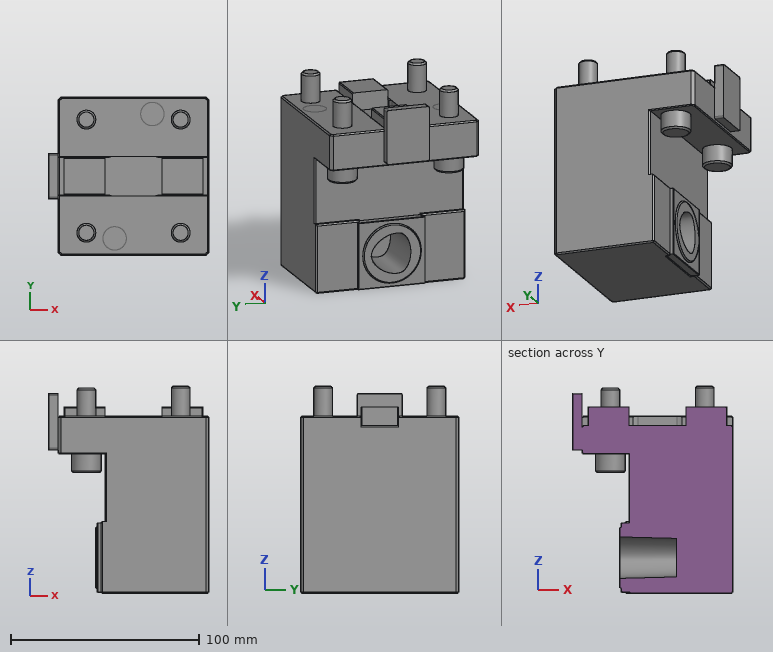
import cadquery as cq
import math

body_length = 80.0
body_width = 84.0
body_height = 94.0
flange_thickness = 20.0
neck_setback = 25.0
edge_chamfer = 0.8
underside_chamfer = 0.5
corner_chamfer = 1.5
front_x = -body_length / 2
rear_x = body_length / 2
neck_x = front_x + neck_setback
flange_bottom = body_height - flange_thickness

foot_height = 38.2
foot_depth = 2.3
foot_root_x = 0.0
foot_gap = 34.5
pad_width = 37.6
pad_height = 37.0
pad_depth = 4.3
pad_chamfer = 0.3
boss_diameter = 33.0
boss_depth = 0.8
boss_chamfer = 0.7
foot_centre_z = 18.9
boss_x = neck_x - pad_depth - boss_depth

bore_mean_radius = 11.1
bore_lobe_height = 0.8
bore_depth = 30.0
bore_taper = 0.8
bore_curve_points = 36

keyway_width = 20.0
keyway_depth = 5.0
keyway_floor = body_height - keyway_depth
relief_step = 0.5
relief_flat_length = 20.7
relief_radius = 7.2

key_length = 21.8
key_gap = 30.0
key_rise = 5.0
key_chamfer = 0.5

plate_thickness = 5.1
plate_width = 24.0
plate_height = 30.0
plate_bottom = 76.0
plate_corner_radius = 1.0

screw_diameter = 10.0
screw_spacing_x = 50.0
screw_spacing_y = 60.1
rear_screw_rise = 16.0
front_screw_rise = 15.0
head_diameter = 16.0
head_height = 10.0
screw_chamfer = 1.0
plug_diameter = 12.4
plug_depth = 5.0
plug_offset_x = 10.0
plug_offset_y = 33.0


def box(x_min, x_max, width, z_min, z_max):
    """Box centred on Y = 0 between the given X and Z limits."""
    return cq.Workplane("XY").box(
        x_max - x_min, width, z_max - z_min, centered=(False, True, False)
    ).translate((x_min, 0, z_min))


def make_flange():
    flange = box(front_x, rear_x, body_width, flange_bottom, body_height)
    flange = flange.edges("|Z").chamfer(corner_chamfer)
    flange = flange.faces(">Z").chamfer(edge_chamfer)
    return flange.faces("<Z").chamfer(underside_chamfer)


def make_neck():
    neck = box(neck_x, rear_x, body_width, 0, flange_bottom + underside_chamfer)
    neck = neck.edges("|Z and >X").chamfer(corner_chamfer)
    neck = neck.edges("|Z and <X").chamfer(edge_chamfer)
    return neck.faces("<Z").chamfer(edge_chamfer)


def make_foot():
    side_width = (body_width - foot_gap) / 2
    side_pad = box(neck_x - foot_depth, foot_root_x, side_width, 0, foot_height)
    side_pad = side_pad.faces("<X or <Z").chamfer(edge_chamfer)
    side_y = (foot_gap + side_width) / 2
    side_pads = side_pad.translate((0, side_y, 0)).union(side_pad.translate((0, -side_y, 0)))
    pad_bottom = foot_centre_z - pad_height / 2
    pad = box(neck_x - pad_depth, foot_root_x, pad_width, pad_bottom, pad_bottom + pad_height)
    pad = pad.faces("<X").chamfer(pad_chamfer)
    boss = (
        cq.Workplane("YZ", origin=(boss_x, 0, foot_centre_z))
        .circle(boss_diameter / 2)
        .extrude(foot_root_x - boss_x)
        .faces("<X")
        .chamfer(boss_chamfer)
    )
    return side_pads.union(pad).union(boss)


def lobed_wire(x, mean_radius):
    """Closed three-lobed outline at the given X; one lobe points along +Y."""

    def point(angle):
        reach = mean_radius + bore_lobe_height * math.cos(3 * angle)
        slope = -3 * bore_lobe_height * math.sin(3 * angle)
        y = reach * math.cos(angle) - slope * math.sin(angle)
        z = reach * math.sin(angle) + slope * math.cos(angle)
        return (y, z)

    plane = cq.Workplane("YZ", origin=(x, 0, foot_centre_z))
    angles = [2 * math.pi * i / bore_curve_points for i in range(bore_curve_points)]
    return plane.spline([point(angle) for angle in angles], periodic=True).wire().val()


def make_bore():
    mouth = lobed_wire(boss_x, bore_mean_radius)
    bottom = lobed_wire(boss_x + bore_depth, bore_mean_radius - bore_taper)
    return cq.Workplane(cq.Solid.makeLoft([mouth, bottom], True))


def make_keyway():
    half_mouth = keyway_width / 2 + relief_step
    slot = (
        cq.Workplane("YZ", origin=(front_x, 0, 0))
        .moveTo(-keyway_width / 2, keyway_floor)
        .hLineTo(keyway_width / 2)
        .vLineTo(body_height - relief_step)
        .lineTo(half_mouth, body_height)
        .hLineTo(-half_mouth)
        .lineTo(-keyway_width / 2, body_height - relief_step)
        .close()
        .extrude(body_length)
    )
    half_flat = relief_flat_length / 2
    run_out_angle = math.acos(1 - relief_step / relief_radius)

    def run_out(angle):
        along = relief_radius * math.sin(angle)
        inward = relief_radius * (1 - math.cos(angle))
        return half_flat + along, half_mouth - inward

    mid_x, mid_y = run_out(run_out_angle / 2)
    end_x, end_y = run_out(run_out_angle)
    relief = (
        cq.Workplane("XY", origin=(0, 0, keyway_floor))
        .moveTo(-half_flat, half_mouth)
        .hLineTo(half_flat)
        .threePointArc((mid_x, mid_y), (end_x, end_y))
        .vLineTo(-end_y)
        .threePointArc((mid_x, -mid_y), (half_flat, -half_mouth))
        .hLineTo(-half_flat)
        .threePointArc((-mid_x, -mid_y), (-end_x, -end_y))
        .vLineTo(end_y)
        .threePointArc((-mid_x, mid_y), (-half_flat, half_mouth))
        .close()
        .extrude(keyway_depth)
    )
    return slot.union(relief)


def chamfer_keyway_ends(body):
    """Bevel the two ends of the keyway floor."""
    for end_x in (front_x, rear_x):
        end_edge = cq.selectors.NearestToPointSelector((end_x, 0, keyway_floor))
        body = body.edges("|Y").edges(end_edge).chamfer(edge_chamfer)
    return body


def make_keys():
    key = box(key_gap / 2, key_gap / 2 + key_length, keyway_width, keyway_floor, body_height + key_rise)
    key = key.edges("(|Z and >X) or (|X and >Z)").chamfer(key_chamfer)
    return key.union(key.mirror("YZ"))


def make_plate():
    plate = box(front_x - plate_thickness, front_x, plate_width, plate_bottom, plate_bottom + plate_height)
    return plate.edges("|X").fillet(plate_corner_radius)


def make_shank(rise):
    shank = cq.Workplane("XY", origin=(0, 0, flange_bottom)).circle(screw_diameter / 2)
    return shank.extrude(flange_thickness + rise).faces(">Z").chamfer(screw_chamfer)


def make_screws():
    head = cq.Workplane("XY", origin=(0, 0, flange_bottom + underside_chamfer)).circle(head_diameter / 2)
    head = head.extrude(-head_height - underside_chamfer).faces("<Z").chamfer(screw_chamfer)
    front_screw = make_shank(front_screw_rise).union(head)
    rear_screw = make_shank(rear_screw_rise)
    screws = cq.Workplane("XY")
    for side in (-1, 1):
        y = side * screw_spacing_y / 2
        screws = screws.union(front_screw.translate((-screw_spacing_x / 2, y, 0)))
        screws = screws.union(rear_screw.translate((screw_spacing_x / 2, y, 0)))
    return screws


def make_plugs():
    plugs = cq.Workplane("XY", origin=(0, 0, body_height)).pushPoints(
        [(plug_offset_x, plug_offset_y), (-plug_offset_x, -plug_offset_y)]
    )
    return plugs.circle(plug_diameter / 2).extrude(-plug_depth)


body = make_flange().union(make_neck()).union(make_foot())
body = chamfer_keyway_ends(body.cut(make_keyway())).cut(make_bore())
body = body.union(make_keys()).union(make_plate()).union(make_screws())

plugs = make_plugs()
result = body.cut(plugs).union(plugs, clean=False)